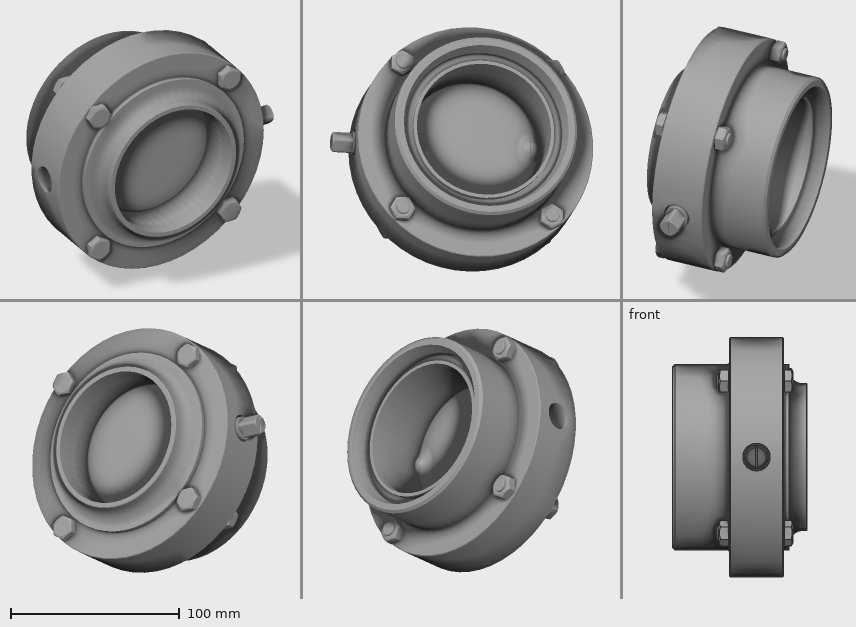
import cadquery as cq
import math


flange_radius = 71.0
flange_half_width = 15.89
flange_edge_chamfer = 0.5

left_end = -49.9
body_radius = 55.0
body_end_chamfer = 1.5
body_fillet = 1.5
socket_mouth_radius = 49.8
socket_radius = 47.5
socket_taper_end = -41.8
socket_floor = -38.1
spigot_radius = 42.5
spigot_end = -42.2
bore_radius = 40.5

right_end = 30.0
right_step_end = 19.2
stub_radius = 43.5
stub_fillet = 8.2
stub_end_chamfer = 0.5

disc_center_half = 4.6
disc_rim_half = 3.9
disc_tip_radius = 2.1
disc_face_radius = 37.5
disc_rim_rounding = bore_radius - disc_face_radius

hub_radius = 8.2
hub_inner_end = 34.7
hub_rounding = 5.3
flare_base_center = 35.3
flare_base_semi_y = 10.0
flare_base_semi_z = 13.5
flare_waist_height = 1.1
flare_waist_center = 36.3
flare_waist_semi_y = 6.2
flare_waist_semi_z = 7.8
flare_height = 3.9
flare_top_center = 37.0
flare_top_semi_y = 2.5
flare_top_semi_z = 2.2

stem_hole_radius = 8.14
stem_hole_floor = 51.2
stem_radius = 7.0
stem_collar_end = 72.0
stem_lower_end = -55.8
stem_end_chamfer = 1.2
square_size = 9.8
square_corner_radius = 6.0
square_end = 84.0
square_chamfer = 1.1
slot_width = 1.0
slot_depth = 0.6

bolt_count = 4
bolt_circle_radius = 63.7
hex_across_flats = 13.0
hex_face_radius = 5.7
hex_chamfer_angle = 30.0
washer_face_height = 0.8
nut_height = 6.5
head_height = 5.7
bolt_radius = 4.0
bolt_end_chamfer = 0.39
bolt_projection = 7.9


def revolve_about_x(profile):
    """Turn a closed (axial, radial) profile into a solid around the X axis."""
    return profile.close().revolve(360, (0, 0, 0), (1, 0, 0))


def cylinder_y(radius, start, end):
    return cq.Workplane("XZ", origin=(0, start, 0)).circle(radius).extrude(start - end)


def make_body():
    arc_start_radius = stub_radius + stub_fillet
    arc_end = right_step_end + stub_fillet
    arc_mid = (
        arc_end - stub_fillet * math.sqrt(0.5),
        arc_start_radius - stub_fillet * math.sqrt(0.5),
    )
    edge = flange_edge_chamfer
    outline = (
        cq.Workplane("XY")
        .moveTo(spigot_end, bore_radius)
        .lineTo(spigot_end, spigot_radius)
        .lineTo(socket_floor, spigot_radius)
        .lineTo(socket_floor, socket_radius)
        .lineTo(socket_taper_end, socket_radius)
        .lineTo(left_end, socket_mouth_radius)
        .lineTo(left_end, body_radius - body_end_chamfer)
        .lineTo(left_end + body_end_chamfer, body_radius)
        .lineTo(-flange_half_width - body_fillet, body_radius)
        .radiusArc((-flange_half_width, body_radius + body_fillet), -body_fillet)
        .lineTo(-flange_half_width, flange_radius - edge)
        .lineTo(-flange_half_width + edge, flange_radius)
        .lineTo(flange_half_width - edge, flange_radius)
        .lineTo(flange_half_width, flange_radius - edge)
        .lineTo(flange_half_width, body_radius)
        .lineTo(right_step_end, body_radius)
        .lineTo(right_step_end, arc_start_radius)
        .threePointArc(arc_mid, (arc_end, stub_radius))
        .lineTo(right_end - stub_end_chamfer, stub_radius)
        .lineTo(right_end, stub_radius - stub_end_chamfer)
        .lineTo(right_end, bore_radius)
    )
    return revolve_about_x(outline)


def make_disc():
    wall_overlap = 0.8
    seat_half = disc_rim_half - disc_rim_rounding
    arc_mid_x = seat_half + disc_rim_rounding * math.sqrt(0.5)
    arc_mid_radius = disc_face_radius + disc_rim_rounding * math.sqrt(0.5)
    outline = (
        cq.Workplane("XY")
        .moveTo(-disc_center_half, 0)
        .lineTo(-disc_center_half, disc_tip_radius)
        .lineTo(-disc_rim_half, disc_face_radius)
        .threePointArc((-arc_mid_x, arc_mid_radius), (-seat_half, bore_radius))
        .lineTo(-seat_half, bore_radius + wall_overlap)
        .lineTo(seat_half, bore_radius + wall_overlap)
        .lineTo(seat_half, bore_radius)
        .threePointArc((arc_mid_x, arc_mid_radius), (disc_rim_half, disc_face_radius))
        .lineTo(disc_center_half, disc_tip_radius)
        .lineTo(disc_center_half, 0)
    )
    return revolve_about_x(outline)


def make_flare(side):
    """Concave flare that blends the hub barrel into the disc face on the given X side."""
    sections = (
        (0, flare_base_center, flare_base_semi_y, flare_base_semi_z),
        (flare_waist_height, flare_waist_center, flare_waist_semi_y, flare_waist_semi_z),
        (flare_height, flare_top_center, flare_top_semi_y, flare_top_semi_z),
    )
    rings = [
        cq.Workplane("YZ", origin=(side * (disc_rim_half + height), center, 0))
        .ellipse(semi_y, semi_z)
        .wires()
        .val()
        for height, center, semi_y, semi_z in sections
    ]
    return cq.Workplane(cq.Solid.makeLoft(rings))


def make_hub():
    """Hub on the +Y side: a barrel rounded at the bore, with a flare on both disc faces."""
    barrel = cylinder_y(hub_radius, hub_inner_end, bore_radius)
    barrel = barrel.faces(">Y").edges().fillet(hub_rounding)
    face_zone = cq.Workplane("YZ").circle(disc_face_radius).extrude(2 * hub_radius, both=True)
    hub = barrel
    for side in (-1, 1):
        hub = hub.union(make_flare(side).intersect(face_zone))
    return hub


def make_stem_hole():
    """Clearance hole around the stem on the +Y side."""
    return cylinder_y(stem_hole_radius, stem_hole_floor, flange_radius + 1.5)


def make_stem():
    shaft_start = stem_hole_floor - 1.5
    upper = cylinder_y(stem_radius, shaft_start, stem_collar_end)
    square = (
        cq.Workplane("XZ", origin=(0, stem_collar_end, 0))
        .transformed(rotate=(0, 0, 45))
        .rect(square_size, square_size)
        .extrude(stem_collar_end - square_end)
    )
    rounding = cylinder_y(square_corner_radius, stem_collar_end, square_end)
    square = square.intersect(rounding.faces(">Y").chamfer(square_chamfer))
    lower = cylinder_y(stem_radius, stem_lower_end, -shaft_start)
    lower = lower.faces("<Y").chamfer(stem_end_chamfer)
    stem = upper.union(square).union(lower)
    for tip in (stem_lower_end, square_end):
        slot = cq.Workplane("XY").box(slot_width, 2 * slot_depth, 4 * stem_radius)
        stem = stem.cut(slot.translate((0, tip, 0)))
    return stem


def make_hex(height):
    """Hexagon along +X from X = 0, with a round washer face and a chamfered outer end."""
    corner_diameter = hex_across_flats / math.cos(math.pi / 6)
    blank = cq.Workplane("YZ").polygon(6, corner_diameter).extrude(height)
    reach = corner_diameter - hex_face_radius
    slope = math.tan(math.radians(hex_chamfer_angle))
    envelope = (
        cq.Workplane("XY")
        .lineTo(0, hex_face_radius)
        .lineTo(washer_face_height, hex_face_radius)
        .lineTo(washer_face_height, hex_face_radius + reach)
        .lineTo(height - reach * slope, hex_face_radius + reach)
        .lineTo(height, hex_face_radius)
        .lineTo(height, 0)
    )
    return blank.intersect(revolve_about_x(envelope))


def make_bolt():
    """Bolt on the X axis: nut and threaded end on the -X face, head on the +X face."""
    head = make_hex(head_height).translate((flange_half_width, 0, 0))
    nut = make_hex(nut_height).mirror("YZ").translate((-flange_half_width, 0, 0))
    end = (
        cq.Workplane("YZ", origin=(-flange_half_width, 0, 0))
        .circle(bolt_radius)
        .extrude(-bolt_projection)
        .faces("<X")
        .chamfer(bolt_end_chamfer)
    )
    return nut.union(end), head


valve = make_body().union(make_disc())

hub = make_hub()
valve = valve.union(hub).union(hub.mirror("XZ"))

stem_hole = make_stem_hole()
valve = valve.cut(stem_hole).cut(stem_hole.mirror("XZ")).union(make_stem())

for index in range(bolt_count):
    angle = 45 + index * 360 / bolt_count
    for fastener in make_bolt():
        placed = fastener.rotate((0, 0, 0), (1, 0, 0), 45)
        placed = placed.translate((0, bolt_circle_radius, 0))
        valve = valve.union(placed.rotate((0, 0, 0), (1, 0, 0), angle))

result = valve